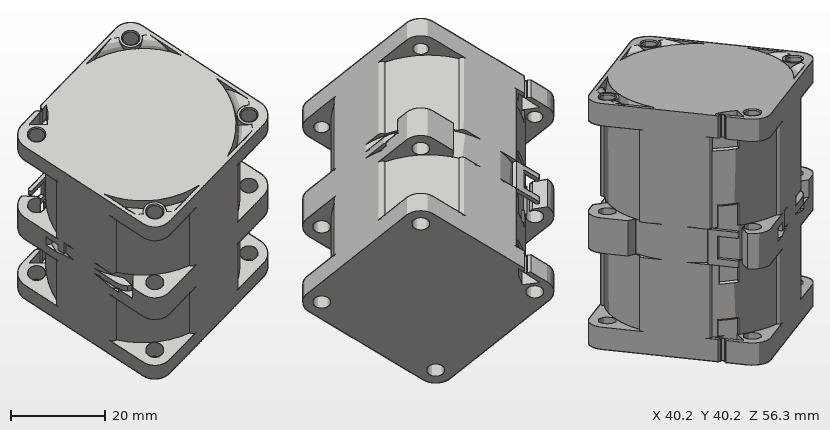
import cadquery as cq
import math

SIDE = 40.18
HEIGHT = 56.25
HALF = SIDE / 2
CORNER_RADIUS = 4.05

FLANGE = 5.1
MIDDLE_BOTTOM = 22.0
MIDDLE_TOP = 30.07
BARREL_RADIUS = 20.7
FLAT_HALF_WIDTH = 7.0
FLAT_EDGE_RADIUS = 1.0

HOLE_OFFSET = 16.05
HOLE_RADIUS = 1.9
HOLE_BOSS_RADIUS = 2.5
TOP_HOLE_RADIUS = 1.7
TOP_HOLE_CHAMFER = 0.25

COVER_RADIUS = 19.8
COVER_FOOT_RADIUS = 20.3
RIM_WALL = 0.9
RECESS_CORNER_SUM = 32.6
BELL_RADIUS = 3.0

WALL_INNER = HALF - RIM_WALL
CHANNEL_RADIUS = 20.3
CHANNEL_OUTLINE = [(-WALL_INNER, -8.8), (-15.4, -12.1), (-16.3, -12.9), (-18.9, -14.95)]
SLOT_Y = -10.51
SLOT_WIDTH = 0.86
SLOT_CHAMFER = 0.5
PAD_DEPTH = BARREL_RADIUS - CHANNEL_RADIUS
PAD_END_OUTER = (-16.1, -13.1)
PAD_END_INNER = (-15.6, -12.4)
BARREL_PADS = (
    (-9.1, FLANGE, 9.05),
    (-9.35, MIDDLE_BOTTOM, 17.1),
    (-9.1, MIDDLE_TOP, 35.2),
    (-8.0, HEIGHT - FLANGE, 47.65),
)

GUIDE_START = math.sqrt(CHANNEL_RADIUS**2 - HALF**2)
GUIDE_DEPTH = 17.0
GUIDE_FLOOR = 25.0
GUIDE_SILL = 26.1
GUIDE_LINTEL = 28.0
ENTRY_OUTER = 10.3
ENTRY_INNER = 9.13
ENTRY_DEPTH = 18.5
WALL_LEAN = 0.4
BRIDGE_END = 5.44
POCKET_OUTER = 13.2
POCKET_INNER = 10.9
SLIT_END = 9.45
TONGUE_FLAT_END = 8.7
TONGUE_NOSE = [(10.1, -19.8), (11.2, -19.3), (11.8, -18.5)]
TONGUE_BACK_Y = -18.0
CLIP_WINDOW_BOTTOM = 23.55
CLIP_WINDOW_TOP = 28.7
CLIP_POST_END_Y = -9.55
CLIP_END_Y = -14.1
CLIP_TIP_RADIUS = 0.44
CORNER_OUTER_Y = -16.1
CORNER_INNER = (-17.5, -14.2)
CHANNEL_END = (-14.4, -14.2)
CUT_MARGIN = 1.0


def prism(points, bottom, top):
    """Vertical prism over a plan outline."""
    return cq.Workplane("XY", origin=(0, 0, bottom)).polyline(points).close().extrude(top - bottom)


def box(x_range, y_range, z_range):
    """Axis-aligned box given by its limits."""
    x0, x1 = x_range
    y0, y1 = y_range
    points = [(x0, y0), (x1, y0), (x1, y1), (x0, y1)]
    return prism(points, *z_range)


def cylinder(radius, bottom, top):
    """Vertical cylinder on the part axis."""
    return cq.Workplane("XY", origin=(0, 0, bottom)).circle(radius).extrude(top - bottom)


def outside_channel(cutter):
    """Part of a cutter that lies outside the channel floor cylinder."""
    return cutter.cut(cylinder(CHANNEL_RADIUS, -CUT_MARGIN, HEIGHT + CUT_MARGIN))


def make_flange(bottom, top):
    """Square plate with rounded corners."""
    plate = cq.Workplane("XY", origin=(0, 0, bottom)).rect(SIDE, SIDE).extrude(top - bottom)
    return plate.edges("|Z").fillet(CORNER_RADIUS)


def make_body():
    """Barrel with a flat, round-edged pad on each side, joined to three flanges."""
    across = 2 * (FLAT_HALF_WIDTH + FLAT_EDGE_RADIUS)
    body = cylinder(BARREL_RADIUS, 0, HEIGHT).intersect(make_flange(0, HEIGHT))
    for size in ((SIDE, across), (across, SIDE)):
        pads = cq.Workplane("XY").rect(*size).extrude(HEIGHT)
        body = body.union(pads.edges("|Z").fillet(FLAT_EDGE_RADIUS))
    flange_levels = ((0, FLANGE), (MIDDLE_BOTTOM, MIDDLE_TOP), (HEIGHT - FLANGE, HEIGHT))
    for bottom, top in flange_levels:
        body = body.union(make_flange(bottom, top))
    return body


def make_hole_cutter(radius, height=HEIGHT):
    """Four vertical cylinders at the mounting hole positions."""
    pitch = 2 * HOLE_OFFSET
    centres = cq.Workplane("XY").rect(pitch, pitch, forConstruction=True).vertices()
    return centres.circle(radius).extrude(height)


def make_mounting_holes():
    """Clearance holes, narrower and chamfered at the rim in the top flange."""
    wide = make_hole_cutter(HOLE_RADIUS, HEIGHT - FLANGE)
    narrow = make_hole_cutter(TOP_HOLE_RADIUS)
    rim_radius = TOP_HOLE_RADIUS + TOP_HOLE_CHAMFER
    rim = (
        cq.Workplane("XY", origin=(0, 0, HEIGHT))
        .rect(2 * HOLE_OFFSET, 2 * HOLE_OFFSET, forConstruction=True)
        .vertices()
        .circle(rim_radius)
        .extrude(-TOP_HOLE_CHAMFER, taper=45)
    )
    return wide.union(narrow).union(rim)


def make_corner_recesses():
    """Bell-mouthed recesses around the cover in every corner except -X -Y."""
    bell_centre = COVER_FOOT_RADIUS + BELL_RADIUS
    bell_middle = BELL_RADIUS * math.sqrt(0.5)
    floor = HEIGHT - BELL_RADIUS
    ring = (
        cq.Workplane("XZ")
        .moveTo(COVER_RADIUS, HEIGHT)
        .lineTo(COVER_FOOT_RADIUS, floor)
        .threePointArc((bell_centre - bell_middle, floor + bell_middle), (bell_centre, HEIGHT))
        .close()
        .revolve(360, (0, 0), (0, 1))
    )
    end = RECESS_CORNER_SUM - WALL_INNER
    outline = [(0, 0), (WALL_INNER, 0), (WALL_INNER, end), (end, WALL_INNER), (0, WALL_INNER)]
    quarter = prism(outline, floor, HEIGHT)
    corners = quarter
    for angle in (-90, 90):
        corners = corners.union(quarter.rotate((0, 0, 0), (0, 0, 1), angle))
    return ring.intersect(corners).cut(make_hole_cutter(HOLE_BOSS_RADIUS))


def make_flange_channel(bottom, top):
    """Cable passage through an end flange with a flared slot to the -X face."""
    passage = outside_channel(prism(CHANNEL_OUTLINE, bottom, top))
    half = SLOT_WIDTH / 2
    flare = half + SLOT_CHAMFER
    slot = [
        (-HALF, SLOT_Y - flare), (-HALF + SLOT_CHAMFER, SLOT_Y - half), (-WALL_INNER, SLOT_Y - half),
        (-WALL_INNER, SLOT_Y + half), (-HALF + SLOT_CHAMFER, SLOT_Y + half), (-HALF, SLOT_Y + flare),
    ]
    return passage.union(prism(slot, bottom, top))


def make_barrel_pad(start_y, flange_z, end_z):
    """Shallow recess in the barrel beside a flange, with sloping end walls."""
    slope = math.copysign(PAD_DEPTH, end_z - flange_z)
    reach = BARREL_RADIUS + PAD_DEPTH
    profile = [(CHANNEL_RADIUS, flange_z), (reach, flange_z), (reach, end_z + slope),
               (CHANNEL_RADIUS, end_z - slope)]
    ring = cq.Workplane("XZ").polyline(profile).close().revolve(360, (0, 0), (0, 1))
    span = [(-HALF, start_y), (0, start_y), PAD_END_INNER, PAD_END_OUTER, (-HALF, PAD_END_OUTER[1])]
    low, high = sorted((flange_z, end_z))
    return ring.intersect(prism(span, low - CUT_MARGIN, high + CUT_MARGIN))


def make_side_clip():
    """C-shaped clip over the channel: a post and two bars with rounded tips."""
    plan = [(-HALF, -FLAT_HALF_WIDTH - WALL_LEAN), (-WALL_INNER, -FLAT_HALF_WIDTH),
            (-WALL_INNER, CLIP_END_Y), (-HALF, CLIP_END_Y)]
    clip = prism(plan, MIDDLE_BOTTOM, MIDDLE_TOP)
    clip = clip.edges("|Z and <Y").fillet(CLIP_TIP_RADIUS)
    window = box((-HALF, -WALL_INNER), (CLIP_END_Y, CLIP_POST_END_Y), (CLIP_WINDOW_BOTTOM, CLIP_WINDOW_TOP))
    return clip.cut(window)


def make_side_guides():
    """Cable guide cut into the middle flange on the -X side, both sides of the flat."""
    entry = [(-HALF, GUIDE_START), (-HALF, ENTRY_OUTER), (-ENTRY_DEPTH, ENTRY_INNER),
             (-GUIDE_DEPTH, ENTRY_INNER), (-GUIDE_DEPTH, GUIDE_START)]
    passage = [(-HALF, -GUIDE_START), (-HALF, CORNER_OUTER_Y), CORNER_INNER, CHANNEL_END,
               (-GUIDE_DEPTH, -GUIDE_START)]
    guides = prism(passage, MIDDLE_BOTTOM, MIDDLE_TOP).cut(make_side_clip())
    return outside_channel(guides.union(prism(entry, MIDDLE_BOTTOM, MIDDLE_TOP)))


def make_sill(points):
    """Floor of a front guide: falls at 45 degrees from the barrel, then runs level to the face."""
    drop = GUIDE_SILL - GUIDE_FLOOR
    profile = [(CHANNEL_RADIUS, GUIDE_SILL), (CHANNEL_RADIUS + drop, GUIDE_FLOOR),
               (SIDE, GUIDE_FLOOR), (SIDE, GUIDE_SILL)]
    ring = cq.Workplane("XZ").polyline(profile).close().revolve(360, (0, 0), (0, 1))
    return ring.intersect(prism(points, GUIDE_FLOOR, GUIDE_SILL))


def make_left_guide():
    """Front guide on the -X side: a bridged tunnel with an open slot beside the flat."""
    tunnel = [(-GUIDE_START, -HALF), (-ENTRY_OUTER, -HALF), (-ENTRY_INNER, -ENTRY_DEPTH),
              (-ENTRY_INNER, -GUIDE_DEPTH), (-GUIDE_START, -GUIDE_DEPTH)]
    bridge = [(-FLAT_HALF_WIDTH, -HALF), (-BRIDGE_END, -HALF), (-BRIDGE_END + WALL_LEAN, -WALL_INNER),
              (-FLAT_HALF_WIDTH, -WALL_INNER)]
    guide = prism(tunnel, GUIDE_SILL, GUIDE_LINTEL).union(make_sill(tunnel))
    guide = guide.cut(prism(bridge, GUIDE_SILL, GUIDE_LINTEL))
    slot = box((-BRIDGE_END, -GUIDE_START), (-HALF, -GUIDE_DEPTH), (GUIDE_SILL, MIDDLE_TOP))
    slot = slot.cut(prism(bridge, GUIDE_SILL, MIDDLE_TOP))
    return guide.union(slot)


def make_right_guide():
    """Front guide on the +X side: an open pocket holding a blunt-nosed tongue above a slit."""
    pocket = [(GUIDE_START, -HALF), (POCKET_OUTER, -HALF), (POCKET_INNER, -GUIDE_DEPTH),
              (GUIDE_START, -GUIDE_DEPTH)]
    slit = [(GUIDE_START, -HALF), (SLIT_END, -HALF), (TONGUE_FLAT_END, -GUIDE_DEPTH),
            (GUIDE_START, -GUIDE_DEPTH)]
    plan = [(GUIDE_START, -HALF), (TONGUE_FLAT_END, -HALF), *TONGUE_NOSE,
            (TONGUE_FLAT_END, TONGUE_BACK_Y), (GUIDE_START, TONGUE_BACK_Y)]
    tongue = prism(plan, GUIDE_SILL, GUIDE_LINTEL)
    return prism(pocket, GUIDE_SILL, MIDDLE_TOP).cut(tongue).union(make_sill(slit))


result = make_body()
result = result.cut(make_corner_recesses())
for level in ((0, FLANGE), (HEIGHT - FLANGE, HEIGHT)):
    result = result.cut(make_flange_channel(*level))
for pad in BARREL_PADS:
    result = result.cut(make_barrel_pad(*pad))
result = result.cut(make_side_guides())
right_guide = make_right_guide()
rear_guide = right_guide.rotate((0, 0, 0), (0, 0, 1), 180)
for guide in (make_left_guide(), right_guide, rear_guide):
    result = result.cut(outside_channel(guide))
result = result.cut(make_mounting_holes())